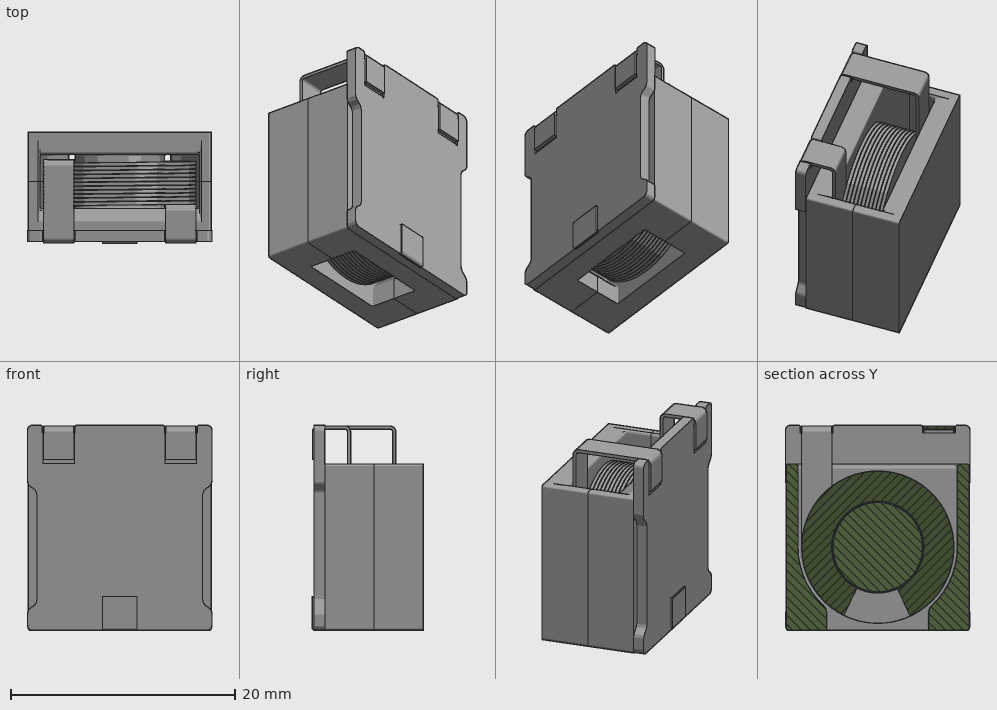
import cadquery as cq


selection_margin = 0.05

core_width = 16.35
core_depth = 8.8
core_height = 14.86
core_edge_radius = 0.22
core_bottom = -core_height / 2
core_top = core_height / 2
core_front = -core_depth / 2

pocket_radius = 7.1
pocket_depth = 4.8
pocket_fillet = 0.15
post_radius = 4.0
lip_width = 14.6
lip_depth = 7.24
lip_height = 0.22
lip_fillet = 0.25
lip_corner_radius = 0.05
lip_bottom = core_top - lip_height
floor_slot_width = 9.1
floor_slot_fillet = 0.75

wire_thickness = 0.3
wire_width = 2.7
coil_inner_radius = 4.1
coil_pitch = 0.35
coil_turns = 11.5
coil_start_y = 1.8
coil_mean_radius = coil_inner_radius + wire_width / 2
coil_end_y = coil_start_y - coil_pitch * coil_turns
lead_bend_radius = 0.55
lead_drop = 3.0
lead_stand_out = 0.13
lead_top_gap = 0.08

plate_width = 16.5
plate_thickness = 0.98
plate_height = 18.33
plate_corner_radius = 0.5
plate_bottom = core_bottom
plate_top = plate_bottom + plate_height
plate_front = core_front - plate_thickness
waist_inset = 0.85
waist_ramp = 0.6
waist_lower_margin = 1.8
waist_upper_margin = 5.28
waist_fillet = 0.75

notch_width = 2.9
notch_depth = 0.7
notch_lip_radius = 0.2

recess_width = 2.83
recess_depth = wire_thickness - lead_stand_out
recess_end_gap = 0.35
lead_top = plate_top - lead_top_gap
lead_tip = lead_top - lead_drop
recess_bottom = lead_tip - recess_end_gap

pad_width = 3.1
pad_height = 3.03
pad_thickness = 0.3
pad_stand_out = 0.15
pad_edge_radius = 0.25


def block(width, y_min, y_max, z_min, z_max, x_center=0):
    """Box centred on x_center and spanning the given Y and Z limits."""
    box = cq.Workplane("XY").box(width, y_max - y_min, z_max - z_min, centered=(True, False, False))
    return box.translate((x_center, y_min, z_min))


def make_winding_pocket():
    """Ring-shaped void round the post: round floor with a slot through it, straight sides above."""
    back = pocket_depth / 2
    pocket = (
        cq.Workplane("XZ", origin=(0, back, 0))
        .moveTo(-pocket_radius, lip_bottom)
        .lineTo(-pocket_radius, 0)
        .threePointArc((0, -pocket_radius), (pocket_radius, 0))
        .lineTo(pocket_radius, lip_bottom)
        .close()
        .extrude(pocket_depth)
    )
    pocket = pocket.union(block(floor_slot_width, -back, back, core_bottom, 0))
    floor_slot_rims = cq.selectors.BoxSelector(
        (-floor_slot_width, -pocket_depth, -pocket_radius + pocket_fillet),
        (floor_slot_width, pocket_depth, -pocket_radius / 2),
    )
    pocket = pocket.edges("|Y").edges(floor_slot_rims).fillet(floor_slot_fillet)
    post = cq.Workplane("XZ", origin=(0, back, 0)).circle(post_radius).extrude(pocket_depth)
    pocket = pocket.cut(post)
    return pocket.faces("<Y or >Y").edges("not (<Z or >Z)").fillet(pocket_fillet)


def rounded_rectangle(width, depth, corner_radius, z):
    outline = cq.Sketch().rect(width, depth).vertices().fillet(corner_radius)
    return outline.moved(cq.Location(cq.Vector(0, 0, z)))


def make_lip():
    """Shallow funnel leading from the top face down to the pocket."""
    lower = rounded_rectangle(2 * pocket_radius, pocket_depth, pocket_fillet, lip_bottom)
    upper = rounded_rectangle(lip_width, lip_depth, lip_corner_radius, core_top)
    return cq.Workplane("XY").placeSketch(lower, upper).loft()


def make_core():
    core = block(core_width, core_front, core_depth / 2, core_bottom, core_top)
    core = core.edges("|Y").fillet(core_edge_radius)
    core = core.cut(make_lip()).cut(make_winding_pocket())
    lip_rim = cq.selectors.BoxSelector(
        (-lip_width, -lip_depth / 2, lip_bottom - selection_margin),
        (lip_width, lip_depth / 2, lip_bottom + selection_margin),
    )
    return core.edges(lip_rim).fillet(lip_fillet)


def make_core_half(core, side):
    """Half of the core on the given side of the mating plane: +1 for back, -1 for front."""
    y_limits = sorted((0, side * core_depth))
    return core.intersect(block(2 * core_width, *y_limits, -core_height, core_height))


def make_base_plate():
    half_width = plate_width / 2
    waist = half_width - waist_inset
    lower = plate_bottom + waist_lower_margin
    upper = plate_top - waist_upper_margin
    right_side = [
        (half_width, plate_bottom),
        (half_width, lower),
        (waist, lower + waist_ramp),
        (waist, upper - waist_ramp),
        (half_width, upper),
        (half_width, plate_top),
    ]
    left_side = [(-x, z) for x, z in reversed(right_side)]
    plate = cq.Workplane("XZ", origin=(0, core_front, 0)).polyline(right_side + left_side).close()
    plate = plate.extrude(plate_thickness)
    plate = plate.edges("|Y").edges("<Z or >Z").fillet(plate_corner_radius)
    waist_band = cq.selectors.BoxSelector(
        (-plate_width, plate_front - plate_thickness, lower - waist_ramp / 2),
        (plate_width, core_front + plate_thickness, upper + waist_ramp / 2),
    )
    plate = plate.edges("|Y").edges(waist_band).fillet(waist_fillet)

    for x_center in (-coil_mean_radius, coil_mean_radius):
        notch = block(notch_width, plate_front, core_front, plate_top - notch_depth, plate_top, x_center)
        plate = plate.cut(notch)
        notch_rim = cq.selectors.BoxSelector(
            (x_center - notch_width, plate_front - plate_thickness, plate_top - selection_margin),
            (x_center + notch_width, core_front + plate_thickness, plate_top + selection_margin),
        )
        inner_rim = plate.edges("|Y").edges(notch_rim).filter(
            lambda edge: abs(abs(edge.Center().x - x_center) - notch_width / 2) < selection_margin
        )
        plate = inner_rim.fillet(notch_lip_radius)
        plate = plate.cut(block(
            recess_width, plate_front, plate_front + recess_depth,
            recess_bottom, plate_top, x_center,
        ))
    return plate.cut(make_pad())


def make_pad():
    front = plate_front - pad_stand_out
    pad = block(pad_width, front, front + pad_thickness, plate_bottom, plate_bottom + pad_height)
    return pad.edges("<Y and <Z").fillet(pad_edge_radius)


def make_winding():
    """Helical flat strip running from the left lead at the back to the right lead at the front."""
    coil_length = coil_pitch * coil_turns
    helix = cq.Wire.makeHelix(coil_pitch, coil_length, coil_mean_radius)
    winding = (
        cq.Workplane("XZ", origin=(coil_mean_radius, 0, 0))
        .rect(wire_width, wire_thickness)
        .sweep(cq.Workplane(helix), isFrenet=True)
    )
    winding = winding.rotate((0, 0, 0), (0, 0, 1), 180).rotate((0, 0, 0), (1, 0, 0), 90)
    return winding.translate((0, coil_start_y, 0))


def make_lead(x_center, leg_y):
    """Strip rising from the coil, running forward over the core and turning down the plate."""
    back = leg_y + wire_thickness / 2
    front = plate_front - lead_stand_out
    inner_radius = lead_bend_radius - wire_thickness
    outer = block(wire_width, front, back, 0, lead_top, x_center)
    outer = outer.edges("|X and >Z").fillet(lead_bend_radius)
    inner = block(
        wire_width, front + wire_thickness, back - wire_thickness,
        0, lead_top - wire_thickness, x_center,
    )
    inner = inner.edges("|X and >Z").fillet(inner_radius)
    below_tip = block(wire_width, front, front + wire_thickness, 0, lead_tip, x_center)
    return outer.cut(inner).cut(below_tip)


def make_coil():
    coil = make_winding()
    coil = coil.union(make_lead(-coil_mean_radius, coil_start_y))
    return coil.union(make_lead(coil_mean_radius, coil_end_y))


core = make_core()
core_back = make_core_half(core, 1)
core_front_half = make_core_half(core, -1)
coil = make_coil()
base_plate = make_base_plate()
pad = make_pad()

result = cq.Compound.makeCompound(
    [body.solids().val() for body in (core_back, core_front_half, coil, base_plate, pad)]
)